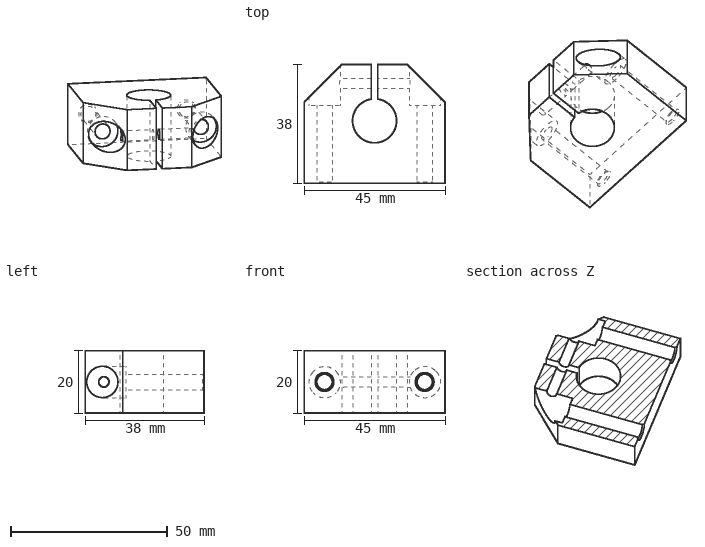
import cadquery as cq

width = 45.0
depth = 38.0
height = 20.0
corner_cut = 12.0

bore_diameter = 14.0
bore_y = 20.0
slot_width = 2.0

mount_spacing = 32.0
mount_diameter = 4.9
mount_mouth_diameter = 6.0
mount_chamfer = (mount_mouth_diameter - mount_diameter) / 2
head_diameter = 10.0
head_floor_y = 25.0

clamp_diameter = 3.25
clamp_rear_distance = 6.0
clamp_y = depth - clamp_rear_distance

mid_z = height / 2


def block():
    """Block with its front face on y = 0 and both rear corners cut at 45 degrees."""
    return (
        cq.Workplane("XY")
        .box(width, depth, height, centered=(True, False, False))
        .edges("|Z and >Y")
        .chamfer(corner_cut)
    )


def shaft_clamp_cut():
    """Vertical bore with a slot opening it to the rear face."""
    bore = cq.Workplane("XY").center(0, bore_y).circle(bore_diameter / 2).extrude(height)
    slot = cq.Workplane("XY").center(0, bore_y).box(
        slot_width, depth - bore_y, height, centered=(True, False, False)
    )
    return bore.union(slot)


def mounting_hole_cut(x):
    """Through hole with a chamfered front mouth and a screw head recess from the rear."""
    start = cq.Vector(x, 0, mid_z)
    along_y = cq.Vector(0, 1, 0)
    hole = cq.Solid.makeCylinder(mount_diameter / 2, depth, start, along_y)
    mouth = cq.Solid.makeCone(
        mount_mouth_diameter / 2, mount_diameter / 2, mount_chamfer, start, along_y
    )
    recess = cq.Solid.makeCylinder(
        head_diameter / 2, depth - head_floor_y, cq.Vector(x, head_floor_y, mid_z), along_y
    )
    return cq.Workplane(hole).union(cq.Workplane(mouth)).union(cq.Workplane(recess))


def clamp_screw_cut():
    """Plain hole across the full width, crossing the slot and the head recesses."""
    return (
        cq.Workplane("YZ", origin=(-width / 2, 0, 0))
        .center(clamp_y, mid_z)
        .circle(clamp_diameter / 2)
        .extrude(width)
    )


result = block().cut(shaft_clamp_cut()).cut(clamp_screw_cut())
for side in (-1, 1):
    result = result.cut(mounting_hole_cut(side * mount_spacing / 2))